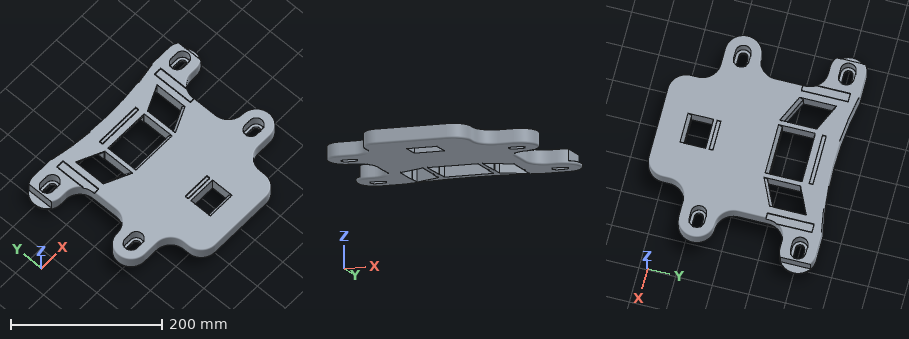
import cadquery as cq
import math

THICKNESS = 21.0
WIDTH = 315.5
LENGTH = 250.0
RADIUS = 25.0
TOP_ROUND = 2.0
BOTTOM_ROUND = 3.0
REAR_SAG = 10.0

FRONT_HALF_WIDTH = 75.0
WAIST_HALF_WIDTH = 98.0
FRONT_LUG_CENTER_X = WAIST_HALF_WIDTH + RADIUS
FRONT_LUG_CENTER_Y = 84.3
REAR_LUG_CENTER_X = WIDTH / 2 - RADIUS
REAR_LUG_CENTER_Y = LENGTH - RADIUS

STEP_X = 146.8
STEP_HEIGHT = 5.0

HOLE_STRAIGHT = 10.0
HOLE_WIDTH = 12.3
RECESS_WIDTH = 20.8
RECESS_FLOOR = 5.0
REAR_HOLE_X = 127.8
FRONT_HOLE_X = 117.7

WINDOW_CHAMFER = 5.0
MAIN_WINDOW_HALF_WIDTH = 35.5
MAIN_WINDOW_REAR = 204.8
MAIN_WINDOW_FRONT = 155.0
FRONT_WINDOW_HALF_WIDTH = 21.0
FRONT_WINDOW_REAR = 69.7
FRONT_WINDOW_FRONT = 35.0
SIDE_WINDOW_INNER_X = 42.0
SIDE_WINDOW_OUTER_X = 80.0
SIDE_WINDOW_RISE = 17.5

UNDERCUT_REACH = 18.3
UNDERCUT_INSET = 1.0
UNDERCUT_OVERLAP = 3.0
MAIN_LIP = 5.0
SIDE_LIP = 2.0

GROOVE_DEPTH = 2.0
CROSS_GROOVE_WIDTH = 5.0
MAIN_GROOVE_GAP = 10.0
FRONT_GROOVE_GAP = 5.0
SIDE_GROOVE_INNER_X = 90.0
SIDE_GROOVE_OUTER_X = 102.0
SIDE_GROOVE_FRONT = 172.0
SIDE_GROOVE_REAR = 235.8


def box(x_min, x_max, y_min, y_max, z_min, z_max):
    size = (x_max - x_min, y_max - y_min, z_max - z_min)
    return cq.Workplane("XY").box(*size, centered=False).translate((x_min, y_min, z_min))


def plate():
    bend = RADIUS * math.sqrt(0.5)
    front_notch_x = FRONT_HALF_WIDTH + RADIUS
    front_notch_y = FRONT_LUG_CENTER_Y - 2 * RADIUS
    waist_front = FRONT_LUG_CENTER_Y + 2 * RADIUS
    waist_rear = REAR_LUG_CENTER_Y - 2 * RADIUS
    corner_x = FRONT_HALF_WIDTH - RADIUS

    half = (
        cq.Workplane("XY")
        .lineTo(corner_x, 0)
        .threePointArc((corner_x + bend, RADIUS - bend), (FRONT_HALF_WIDTH, RADIUS))
        .lineTo(FRONT_HALF_WIDTH, front_notch_y)
        .threePointArc(
            (front_notch_x - bend, front_notch_y + bend),
            (front_notch_x, front_notch_y + RADIUS),
        )
        .lineTo(FRONT_LUG_CENTER_X, FRONT_LUG_CENTER_Y - RADIUS)
        .threePointArc(
            (FRONT_LUG_CENTER_X + RADIUS, FRONT_LUG_CENTER_Y),
            (FRONT_LUG_CENTER_X, FRONT_LUG_CENTER_Y + RADIUS),
        )
        .threePointArc(
            (FRONT_LUG_CENTER_X - bend, waist_front - bend),
            (WAIST_HALF_WIDTH, waist_front),
        )
        .lineTo(WAIST_HALF_WIDTH, waist_rear)
        .threePointArc(
            (FRONT_LUG_CENTER_X - bend, waist_rear + bend),
            (FRONT_LUG_CENTER_X, waist_rear + RADIUS),
        )
        .lineTo(REAR_LUG_CENTER_X, REAR_LUG_CENTER_Y - RADIUS)
        .threePointArc(
            (REAR_LUG_CENTER_X + RADIUS, REAR_LUG_CENTER_Y),
            (REAR_LUG_CENTER_X, LENGTH),
        )
        .lineTo(WAIST_HALF_WIDTH, LENGTH)
    )
    rear_radius = (WAIST_HALF_WIDTH**2 + REAR_SAG**2) / (2 * REAR_SAG)
    quarter_x = WAIST_HALF_WIDTH / 2
    quarter_dip = REAR_SAG - rear_radius + math.sqrt(rear_radius**2 - quarter_x**2)
    half = half.threePointArc((quarter_x, LENGTH - quarter_dip), (0, LENGTH - REAR_SAG))
    half = half.close().extrude(THICKNESS)
    whole = half.union(half.mirror("YZ")).clean()
    whole = whole.faces(">Z").edges().fillet(TOP_ROUND)
    return whole.faces("<Z").edges().fillet(BOTTOM_ROUND)


def lug_steps():
    tip_x = REAR_LUG_CENTER_X + RADIUS
    step = box(STEP_X, tip_x, REAR_LUG_CENTER_Y - RADIUS, LENGTH, STEP_HEIGHT, THICKNESS)
    return step.union(step.mirror("YZ"))


def slot(width, z_min):
    tool = cq.Workplane("XY").workplane(offset=z_min)
    return tool.slot2D(HOLE_STRAIGHT + width, width).extrude(THICKNESS)


def mounting_holes():
    tool = slot(HOLE_WIDTH, 0).union(slot(RECESS_WIDTH, RECESS_FLOOR))
    places = ((REAR_HOLE_X, REAR_LUG_CENTER_Y), (FRONT_HOLE_X, FRONT_LUG_CENTER_Y))
    holes = cq.Workplane("XY")
    for x, y in places:
        for side in (-1, 1):
            holes = holes.add(tool.translate((side * x, y, 0)))
    return holes.combine()


def prism(x_min, x_max, rise, profile):
    """Sweep a (Y, Z) profile along X, shifting it by rise in Y on the way."""
    start = cq.Wire.makePolygon([cq.Vector(x_min, y, z) for y, z in profile], close=True)
    end = cq.Wire.makePolygon([cq.Vector(x_max, y + rise, z) for y, z in profile], close=True)
    return cq.Workplane(cq.Solid.makeLoft([start, end], True))


def window(x_min, x_max, front, rear, rise=0):
    """Opening whose front wall starts with a chamfer and then drops straight down."""
    lower_front = front + WINDOW_CHAMFER
    profile = (
        (front, THICKNESS),
        (rear, THICKNESS),
        (rear, 0),
        (lower_front, 0),
        (lower_front, THICKNESS - WINDOW_CHAMFER),
    )
    return prism(x_min, x_max, rise, profile)


def undercut(x_min, x_max, rear, lip, slope=0):
    """Pocket behind a window, a little narrower and open to the window and the underside."""
    top = THICKNESS - lip
    near = rear - UNDERCUT_OVERLAP
    far = rear + UNDERCUT_REACH
    start = x_min + UNDERCUT_INSET
    end = x_max - UNDERCUT_INSET
    shift = slope * UNDERCUT_INSET
    profile = [(y + shift, z) for y, z in ((near, 0), (far, 0), (far, top), (near, top))]
    return prism(start, end, slope * (end - start), profile)


def side_window():
    span = (SIDE_WINDOW_INNER_X, SIDE_WINDOW_OUTER_X)
    slope = SIDE_WINDOW_RISE / (SIDE_WINDOW_OUTER_X - SIDE_WINDOW_INNER_X)
    opening = window(*span, MAIN_WINDOW_FRONT, MAIN_WINDOW_REAR, SIDE_WINDOW_RISE)
    return opening.union(undercut(*span, MAIN_WINDOW_REAR, SIDE_LIP, slope))


def cross_groove(half_width, front):
    floor = THICKNESS - GROOVE_DEPTH
    return box(-half_width, half_width, front, front + CROSS_GROOVE_WIDTH, floor, THICKNESS)


def side_groove():
    return box(
        SIDE_GROOVE_INNER_X, SIDE_GROOVE_OUTER_X,
        SIDE_GROOVE_FRONT, SIDE_GROOVE_REAR,
        THICKNESS - GROOVE_DEPTH, THICKNESS,
    )


main_span = (-MAIN_WINDOW_HALF_WIDTH, MAIN_WINDOW_HALF_WIDTH)
front_span = (-FRONT_WINDOW_HALF_WIDTH, FRONT_WINDOW_HALF_WIDTH)
side_opening = side_window()
groove = side_groove()

result = (
    plate()
    .cut(lug_steps())
    .cut(mounting_holes())
    .cut(window(*main_span, MAIN_WINDOW_FRONT, MAIN_WINDOW_REAR))
    .cut(undercut(*main_span, MAIN_WINDOW_REAR, MAIN_LIP))
    .cut(window(*front_span, FRONT_WINDOW_FRONT, FRONT_WINDOW_REAR))
    .cut(side_opening)
    .cut(side_opening.mirror("YZ"))
    .cut(cross_groove(MAIN_WINDOW_HALF_WIDTH, MAIN_WINDOW_REAR + MAIN_GROOVE_GAP))
    .cut(cross_groove(FRONT_WINDOW_HALF_WIDTH, FRONT_WINDOW_REAR + FRONT_GROOVE_GAP))
    .cut(groove)
    .cut(groove.mirror("YZ"))
)